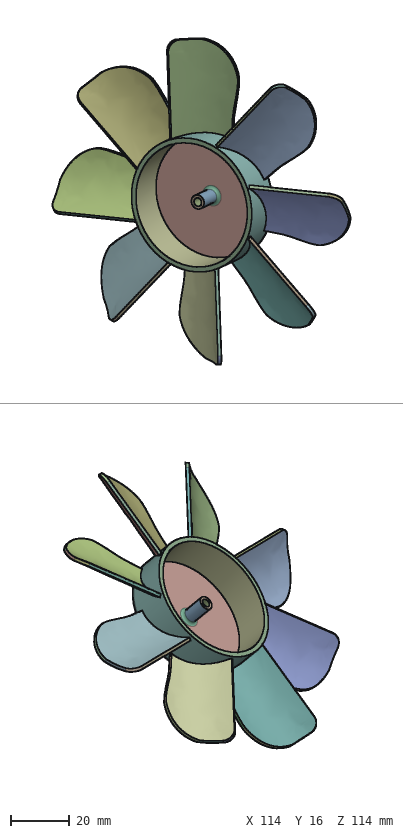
import cadquery as cq
import math

HUB_DIAMETER = 47.5
BORE_DIAMETER = 44.0
HUB_DEPTH = 16.0
WALL = (HUB_DIAMETER - BORE_DIAMETER) / 2
FLOOR_Y = HUB_DEPTH - WALL
BACK_FILLET = 1.5

PIN_DIAMETER = 5.0
PIN_HOLE_DIAMETER = 3.0
PIN_TIP_Y = 4.3
PIN_ROOT_FILLET = 1.1

BLADE_COUNT = 8
BLADE_THICKNESS = 1.3
TIP_RADIUS = 57.0
BLADE_START = 18.2
CREST_X = 11.5
CREST_Y = 13.2
STRAIGHT_EDGE_Y = 1.8
STRAIGHT_EDGE_ROOT_X = -9.5
STRAIGHT_EDGE_TIP_X = -11.0
TIP_CORNER = 4.0
TIP_ROUND_START_X = -0.8
TIP_ROUND_MIDDLE = (7.5, 52.0)
WIDEST_Z = 43.7
WAIST = (9.9, 32.5)
CURVED_EDGE_ROOT_X = 9.1


def along_y(diameter, start, end):
    """Cylinder on the Y axis between two Y positions."""
    plane = cq.Workplane("XZ", origin=(0, start, 0))
    return plane.circle(diameter / 2).extrude(start - end)


def make_hub():
    shell = along_y(HUB_DIAMETER, 0, HUB_DEPTH).faces(">Y").edges().fillet(BACK_FILLET)
    return shell.cut(along_y(BORE_DIAMETER, 0, FLOOR_Y))


def add_pin(hub):
    body = hub.union(along_y(PIN_DIAMETER, PIN_TIP_Y, FLOOR_Y + WALL / 2))
    root = cq.selectors.BoxSelector(
        (-PIN_DIAMETER, FLOOR_Y - WALL / 4, -PIN_DIAMETER),
        (PIN_DIAMETER, FLOOR_Y + WALL / 4, PIN_DIAMETER),
        boundingbox=True,
    )
    body = body.edges(root).fillet(PIN_ROOT_FILLET)
    return body.cut(along_y(PIN_HOLE_DIAMETER, PIN_TIP_Y, FLOOR_Y))


def blade_outline():
    """Blade shape in the XZ plane, extruded through the whole hub depth."""
    outer_x = STRAIGHT_EDGE_TIP_X - BLADE_THICKNESS
    return (
        cq.Workplane("XZ")
        .moveTo(outer_x, BLADE_START)
        .lineTo(outer_x, TIP_RADIUS)
        .lineTo(TIP_ROUND_START_X, TIP_RADIUS)
        .threePointArc(TIP_ROUND_MIDDLE, (CREST_X, WIDEST_Z))
        .spline(
            [WAIST, (CURVED_EDGE_ROOT_X, BLADE_START)],
            tangents=[(0, -1), (0, -1)],
            includeCurrent=True,
        )
        .close()
        .extrude(-HUB_DEPTH)
    )


def camber_section(z, straight_edge_x):
    """Arched cross-section at height z, from the straight edge to the crest."""
    width = CREST_X - straight_edge_x
    rise = CREST_Y - STRAIGHT_EDGE_Y
    back_radius = (width**2 + rise**2) / (2 * rise)
    front_radius = back_radius - BLADE_THICKNESS
    center_y = CREST_Y - back_radius
    sweep = math.asin(width / back_radius)

    def point(radius, angle):
        return cq.Vector(CREST_X - radius * math.sin(angle), center_y + radius * math.cos(angle), z)

    back_edge, back_middle, back_crest = [point(back_radius, a) for a in (sweep, sweep / 2, 0)]
    front_edge, front_middle, front_crest = [point(front_radius, a) for a in (sweep, sweep / 2, 0)]
    return cq.Wire.assembleEdges([
        cq.Edge.makeThreePointArc(back_edge, back_middle, back_crest),
        cq.Edge.makeLine(back_crest, front_crest),
        cq.Edge.makeThreePointArc(front_crest, front_middle, front_edge),
        cq.Edge.makeLine(front_edge, back_edge),
    ])


def make_blade():
    """Loft the arched sheet from root to tip, round its tip corner and trim it to the outline."""
    root = camber_section(BLADE_START, STRAIGHT_EDGE_ROOT_X)
    tip = camber_section(TIP_RADIUS, STRAIGHT_EDGE_TIP_X)
    sheet = cq.Workplane(cq.Solid.makeLoft([root, tip], True))
    sheet = sheet.faces(">Z").edges("<X").fillet(TIP_CORNER)
    return sheet.intersect(blade_outline()).cut(along_y(BORE_DIAMETER, 0, HUB_DEPTH))


result = add_pin(make_hub())
blade = make_blade()
for index in range(BLADE_COUNT):
    angle = index * 360 / BLADE_COUNT
    result = result.union(blade.rotate((0, 0, 0), (0, 1, 0), angle))